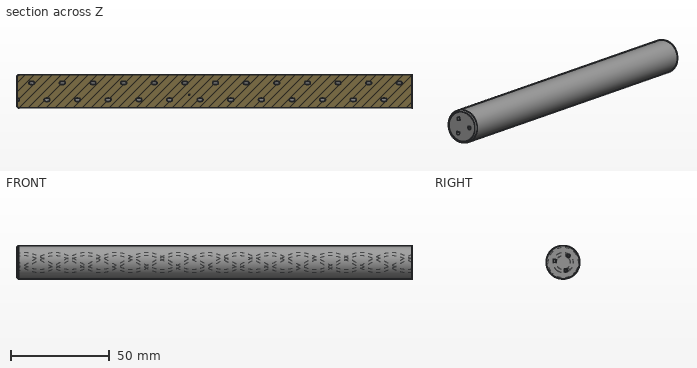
import cadquery as cq

rod_length = 200.0
rod_diameter = 17.0
chamfer_size = 0.85

hole_count = 3
hole_diameter = 1.6
hole_circle_radius = 4.3
first_hole_angle = 182.0
helix_pitch = 46.5

full_turn = 360.0
hole_twist = full_turn * rod_length / helix_pitch


def make_rod():
    """Solid cylinder, chamfered at the X = 0 end and sharp-edged at the other."""
    rod = cq.Workplane("YZ").circle(rod_diameter / 2).extrude(rod_length)
    return rod.faces("<X").chamfer(chamfer_size)


def make_coolant_holes():
    """Cutters for the holes that wind about the rod axis over its full length."""
    return (
        cq.Workplane("YZ")
        .polarArray(hole_circle_radius, first_hole_angle, full_turn, hole_count)
        .circle(hole_diameter / 2)
        .twistExtrude(rod_length, hole_twist)
    )


result = make_rod().cut(make_coolant_holes())